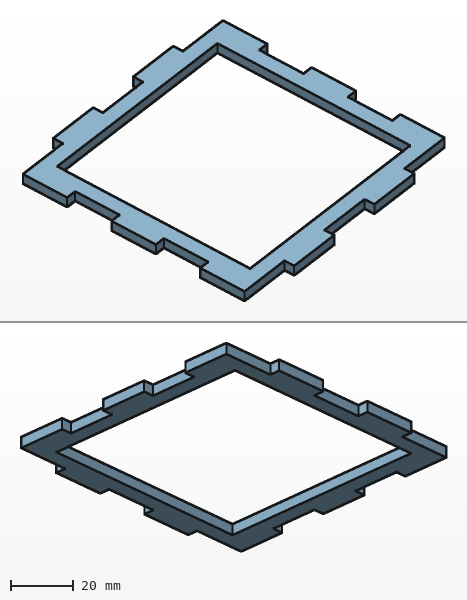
import cadquery as cq

outer_size = 100.0
thickness = 4.0
tab_depth = 4.0
window_size = 80.0
divisions = 5

body_width = outer_size - 2 * tab_depth
notch_length = body_width / divisions
side_tab_length = outer_size / divisions


def plate(x_size, y_size, x_center=0.0, y_center=0.0):
    """Full-thickness rectangular block standing on Z = 0."""
    return (
        cq.Workplane("XY")
        .box(x_size, y_size, thickness, centered=(True, True, False))
        .translate((x_center, y_center, 0))
    )


frame = plate(body_width, outer_size)

for side in (-1, 1):
    for along in (-1, 1):
        tab_x = side * (body_width + tab_depth) / 2
        frame = frame.union(plate(tab_depth, side_tab_length, tab_x, along * side_tab_length))

        notch_y = side * (outer_size - tab_depth) / 2
        frame = frame.cut(plate(notch_length, tab_depth, along * notch_length, notch_y))

result = frame.cut(plate(window_size, window_size))